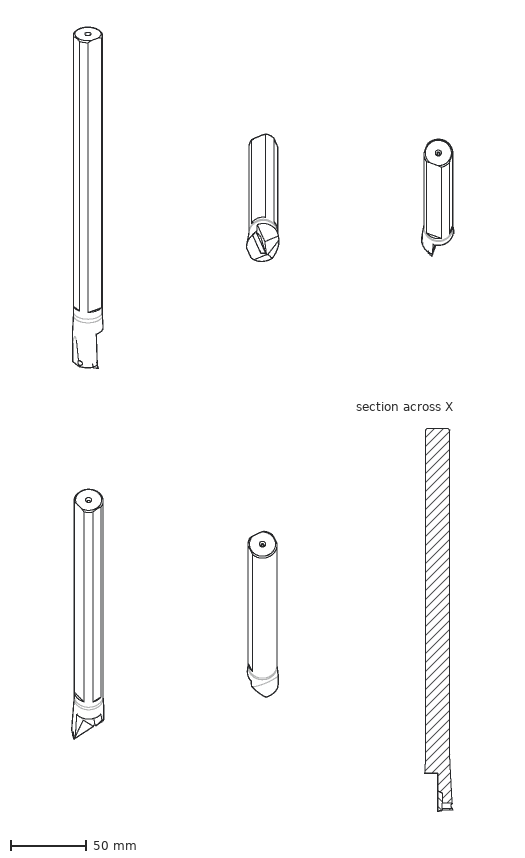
import cadquery as cq
import math


TOTAL_LENGTH = 254.0
SHANK_RADIUS = 9.7
END_CHAMFER = 1.0
SIDE_FLAT = SHANK_RADIUS - 0.64
BACK_FLAT = 8.1
FLAT_START_Z = 43.2
CENTRE_RADIUS = 2.0
CENTRE_ANGLE = 60.0
PILOT_RADIUS = 1.0
PILOT_DEPTH = 2.5

COLLAR_TOP_Z = 37.8
CONE_TOP_Z = 35.0
CONE_BOTTOM_RADIUS = SHANK_RADIUS + 1.65
HEAD_BOTTOM_Z = 1.0
HEAD_FLAT = SHANK_RADIUS + 0.64
RELIEF_RADIUS = 11.0
RELIEF_REACH = 10.0
CORNER_HEIGHT = 3.8
CORNER_ANGLE = 30.0

GULLET_TOP_Y = 10.5
GULLET_TOP_Z = 19.0
GULLET_SLOPE = 1.9
POCKET_BOTTOM_X = -5.3
POCKET_TOP_X = -2.5
POCKET_TOP_Z = 25.5

TIP_X = 12.5
INSERT_SIDE = 16.5
INSERT_THICKNESS = 3.0
INSERT_CORNER = 60.0
INSERT_RELIEF = 13.0
INSERT_TILT = 1.5
SCREW_HOLE_RADIUS = 1.65
SCREW_HOLE_X = 5.0
SCREW_HOLE_Z = 3.8

CLEAR = 25.5


def turned_blank():
    """Shank, collar band and flared head, turned about Z; the band stays a separate face."""
    return (
        cq.Workplane("XZ")
        .moveTo(0, HEAD_BOTTOM_Z)
        .lineTo(-CONE_BOTTOM_RADIUS, HEAD_BOTTOM_Z)
        .lineTo(-SHANK_RADIUS, CONE_TOP_Z)
        .lineTo(-SHANK_RADIUS, COLLAR_TOP_Z)
        .lineTo(-SHANK_RADIUS, TOTAL_LENGTH - END_CHAMFER)
        .lineTo(-SHANK_RADIUS + END_CHAMFER, TOTAL_LENGTH)
        .lineTo(0, TOTAL_LENGTH)
        .close()
        .revolve(360, (0, 0, 0), (0, 1, 0), clean=False)
    )


def block(x0, x1, y0, y1, z0, z1):
    """Box between two opposite corners."""
    return cq.Workplane("XY").box(x1 - x0, y1 - y0, z1 - z0, centered=False).translate((x0, y0, z0))


def shank_flats():
    """Cutters for the two Y flats and the +X flat."""
    top = TOTAL_LENGTH + CLEAR
    front = block(-CLEAR, CLEAR, -CLEAR, -SIDE_FLAT, FLAT_START_Z, top)
    rear = block(-CLEAR, CLEAR, SIDE_FLAT, CLEAR, FLAT_START_Z, top)
    back = block(BACK_FLAT, CLEAR, -CLEAR, CLEAR, FLAT_START_Z, top)
    return [front, rear, back]


def centre_hole():
    """Conical centre hole in the end face, with a straight pilot below it."""
    cone_end_z = TOTAL_LENGTH - (CENTRE_RADIUS - PILOT_RADIUS) / math.tan(math.radians(CENTRE_ANGLE / 2))
    pilot_end_z = cone_end_z - PILOT_DEPTH
    return (
        cq.Workplane("XZ")
        .moveTo(0, TOTAL_LENGTH)
        .lineTo(CENTRE_RADIUS, TOTAL_LENGTH)
        .lineTo(PILOT_RADIUS, cone_end_z)
        .lineTo(PILOT_RADIUS, pilot_end_z)
        .lineTo(0, pilot_end_z)
        .close()
        .revolve(360, (0, 0, 0), (0, 1, 0))
    )


def head_flat():
    """Cutter for the -Y flat of the head."""
    return block(-CLEAR, CLEAR, -CLEAR, -HEAD_FLAT, 0, CONE_TOP_Z)


def side_relief():
    """Everything on the -X side outside an upright cylinder shifted toward +X."""
    keep = (
        cq.Workplane("XY")
        .center(RELIEF_RADIUS - RELIEF_REACH, 0)
        .circle(RELIEF_RADIUS)
        .extrude(CONE_TOP_Z)
    )
    return block(-CLEAR, 0, -CLEAR, CLEAR, 0, CONE_TOP_Z).cut(keep)


def sloped_corner():
    """Wedge below the sloped lower corner on the -X side."""
    slope = math.tan(math.radians(CORNER_ANGLE))
    run = CORNER_HEIGHT / slope
    reach = CLEAR - RELIEF_REACH
    return (
        cq.Workplane("XZ")
        .moveTo(-RELIEF_REACH + run, 0)
        .lineTo(-CLEAR, CORNER_HEIGHT + reach * slope)
        .lineTo(-CLEAR, 0)
        .close()
        .extrude(CLEAR, both=True)
    )


def gullet():
    """Wedge under the sloped face on the +Y side."""
    return (
        cq.Workplane("YZ")
        .moveTo(GULLET_TOP_Y - GULLET_TOP_Z / GULLET_SLOPE, 0)
        .lineTo(CLEAR, GULLET_TOP_Z + (CLEAR - GULLET_TOP_Y) * GULLET_SLOPE)
        .lineTo(CLEAR, 0)
        .close()
        .extrude(CLEAR, both=True)
    )


def rake_pocket():
    """Pocket on the +Y side of the rake plane, between a sloped wall and the open +X side."""
    slope = (POCKET_TOP_Z - HEAD_BOTTOM_Z) / (POCKET_TOP_X - POCKET_BOTTOM_X)
    return (
        cq.Workplane("XZ")
        .moveTo(POCKET_BOTTOM_X - HEAD_BOTTOM_Z / slope, 0)
        .lineTo(POCKET_TOP_X, POCKET_TOP_Z)
        .lineTo(CLEAR, POCKET_TOP_Z)
        .lineTo(CLEAR, 0)
        .close()
        .extrude(-CLEAR)
    )


def make_insert():
    """Triangular insert with its rake face on Y = 0 and its tip at the lower +X corner."""
    left_angle = math.radians(180 - INSERT_TILT)
    top_angle = left_angle - math.radians(INSERT_CORNER)
    tip = (TIP_X, 0)
    left = (TIP_X + INSERT_SIDE * math.cos(left_angle), INSERT_SIDE * math.sin(left_angle))
    top = (TIP_X + INSERT_SIDE * math.cos(top_angle), INSERT_SIDE * math.sin(top_angle))
    rake_face = cq.Workplane("XZ").polyline([tip, left, top]).close()
    return rake_face.extrude(INSERT_THICKNESS, taper=INSERT_RELIEF)


def screw_hole():
    """Hole along Y from the head flat to the back of the insert."""
    return cq.Workplane("XZ").center(SCREW_HOLE_X, SCREW_HOLE_Z).circle(SCREW_HOLE_RADIUS).extrude(CLEAR)


def make_bar(insert):
    """Bar with all its cuts and a seat that fits the insert."""
    bar = turned_blank()
    cutters = [*shank_flats(), centre_hole(), head_flat(), side_relief(), sloped_corner()]
    cutters += [gullet(), rake_pocket(), screw_hole(), insert]
    for cutter in cutters:
        bar = bar.cut(cutter, clean=False)
    return bar


insert = make_insert()
bar = make_bar(insert)

result = cq.Compound.makeCompound([bar.solids().val(), insert.val()])